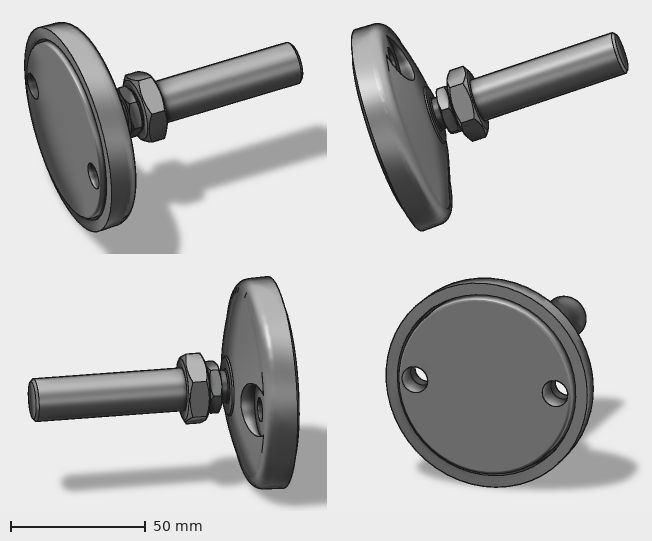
import cadquery as cq
import math


pad_radius = 34.0
pad_fillet = 1.0
pad_protrusion = 2.0
pad_seat_depth = 7.0
pad_top_y = pad_protrusion + pad_seat_depth

base_bottom_y = pad_protrusion
base_bottom_radius = 39.5
recess_radius = 35.0
rim_y = 9.0
rim_radius = 39.25
shoulder_radius = 4.7
shoulder_y = rim_y + shoulder_radius
dome_outer_radius = rim_radius - shoulder_radius
dome_mid_radius = 22.6
dome_mid_y = 17.6
dome_top_radius = 11.2
dome_top_y = 20.1
boss_top_radius = 10.7
boss_top_y = 20.7

hole_offset = 27.5
hole_bottom_radius = 5.0
hole_top_radius = 4.5
spotface_diameter = 20.0

neck_radius = 6.0
neck_seat_depth = 8.0
neck_bottom_y = boss_top_y - neck_seat_depth
neck_flare = 0.5
neck_root_radius = neck_radius + neck_flare
stud_hex_width = 17.0
stud_hex_face_radius = 8.5
stud_hex_bottom_y = 24.0
stud_hex_height = 4.4
stud_hex_top_y = stud_hex_bottom_y + stud_hex_height
stud_radius = 8.0
stud_top_y = 94.4
stud_chamfer = 1.0
relief_bottom_radius = 7.8
relief_top_radius = 7.4

nut_width = 24.0
nut_face_radius = 11.4
nut_height = 8.0
nut_bottom_y = 29.3
nut_top_y = nut_bottom_y + nut_height

hex_chamfer_slope = math.tan(math.radians(30))


def cylinder(radius, bottom_y, top_y, x=0.0):
    """Solid cylinder parallel to Y between two heights."""
    axis = cq.Vector(0, 1, 0)
    start = cq.Vector(x, bottom_y, 0)
    return cq.Workplane(obj=cq.Solid.makeCylinder(radius, top_y - bottom_y, start, axis))


def cone(bottom_radius, top_radius, bottom_y, top_y, x=0.0):
    """Solid cone frustum parallel to Y between two heights."""
    axis = cq.Vector(0, 1, 0)
    start = cq.Vector(x, bottom_y, 0)
    height = top_y - bottom_y
    return cq.Workplane(obj=cq.Solid.makeCone(bottom_radius, top_radius, height, start, axis))


def revolve_about_y(profile):
    """Turn a closed XY profile about the Y axis."""
    return profile.close().revolve(360, (0, 0, 0), (0, 1, 0))


def chamfered_hexagon(width, face_radius, bottom_y, height, turn):
    """Hexagonal prism along Y, corners turned off at both ends."""
    corner_radius = width / math.sqrt(3)
    drop = (corner_radius - face_radius) * hex_chamfer_slope
    top_y = bottom_y + height
    prism = (
        cq.Workplane("XZ", origin=(0, bottom_y, 0))
        .polygon(6, 2 * corner_radius)
        .extrude(-height)
        .rotate((0, 0, 0), (0, 1, 0), turn)
    )
    envelope = revolve_about_y(
        cq.Workplane("XY")
        .moveTo(0, bottom_y)
        .lineTo(face_radius, bottom_y)
        .lineTo(corner_radius, bottom_y + drop)
        .lineTo(corner_radius, top_y - drop)
        .lineTo(face_radius, top_y)
        .lineTo(0, top_y)
    )
    return prism.intersect(envelope)


def fixing_hole(x):
    """Tapered cutter for one fixing hole, from the pad underside to the spotface."""
    return cone(hole_bottom_radius, hole_top_radius, 0, shoulder_y, x)


def make_pad():
    """Round pad with a rounded lower edge and two tapered holes."""
    pad = cylinder(pad_radius, 0, pad_top_y).faces("<Y").edges().fillet(pad_fillet)
    for side in (-1, 1):
        pad = pad.cut(fixing_hole(side * hole_offset))
    return pad


def make_base():
    """Domed base with a pad recess, a stud socket and two spotfaced holes."""
    diagonal = shoulder_radius * math.sin(math.radians(45))
    base = revolve_about_y(
        cq.Workplane("XY")
        .moveTo(0, base_bottom_y)
        .lineTo(base_bottom_radius, base_bottom_y)
        .lineTo(rim_radius, rim_y)
        .threePointArc(
            (dome_outer_radius + diagonal, rim_y + diagonal),
            (dome_outer_radius, shoulder_y),
        )
        .threePointArc((dome_mid_radius, dome_mid_y), (dome_top_radius, dome_top_y))
        .lineTo(boss_top_radius, boss_top_y)
        .lineTo(0, boss_top_y)
    )
    base = base.cut(cylinder(recess_radius, base_bottom_y, pad_top_y))
    base = base.cut(cylinder(neck_root_radius, neck_bottom_y, boss_top_y))
    for side in (-1, 1):
        x = side * hole_offset
        base = base.cut(fixing_hole(x))
        base = base.cut(cylinder(spotface_diameter / 2, shoulder_y, boss_top_y, x))
    return base


def make_stud():
    """Stud with a tapered relief, a spanner hexagon and a neck flared at its root."""
    neck = revolve_about_y(
        cq.Workplane("XY")
        .moveTo(0, neck_bottom_y)
        .lineTo(neck_root_radius, neck_bottom_y)
        .lineTo(neck_root_radius, boss_top_y)
        .lineTo(neck_radius, boss_top_y + neck_flare)
        .lineTo(neck_radius, stud_hex_bottom_y)
        .lineTo(0, stud_hex_bottom_y)
    )
    hexagon = chamfered_hexagon(
        stud_hex_width, stud_hex_face_radius, stud_hex_bottom_y, stud_hex_height, turn=0
    )
    relief = cone(relief_bottom_radius, relief_top_radius, stud_hex_top_y, nut_bottom_y)
    shank = cylinder(stud_radius, nut_bottom_y, stud_top_y)
    shank = shank.faces(">Y").edges().chamfer(stud_chamfer)
    return neck.union(hexagon).union(relief).union(shank)


def make_nut():
    """Lock nut on the stud, turned so that two corners point along Z."""
    nut = chamfered_hexagon(nut_width, nut_face_radius, nut_bottom_y, nut_height, turn=30)
    return nut.cut(cylinder(stud_radius, nut_bottom_y, nut_top_y))


pad = make_pad()
base = make_base()
stud = make_stud()
nut = make_nut()

result = cq.Compound.makeCompound([pad.val(), base.val(), stud.val(), nut.val()])